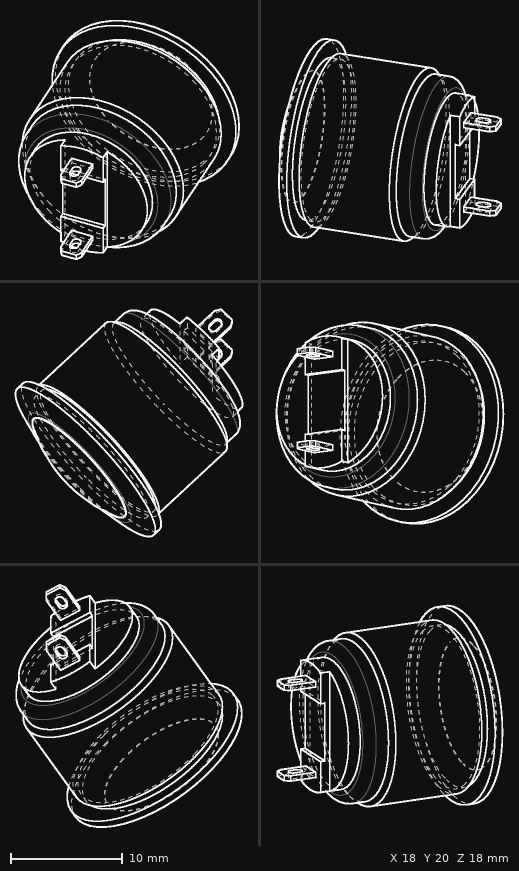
import cadquery as cq

flange_radius = 18.0 / 2
flange_thickness = 0.75
dome_radius = 12.0 / 2
ledge_radius = 6.6
ledge_y = 1.5
dome_step = 0.06
dome_base_y = ledge_y + dome_step
dome_top_y = 3.0

neck_radius = 14.8 / 2
neck_end_y = -0.8
body_radius = 15.8 / 2
body_end_y = -9.35
body_chamfer = body_radius - neck_radius
barrel_end_y = -12.0
barrel_fillet = 0.9

boss_radius = dome_radius
boss_end_y = -13.17
bar_width = 4.13
bar_end_y = -14.07
recess_length = 5.45
recess_depth = 0.45

terminal_end_y = -17.03
terminal_width = 2.05
terminal_thickness = 0.5
terminal_offset = 4.27
tip_chamfer_length = 0.5
tip_chamfer_width = 0.3
eye_length = 1.32
eye_width = 0.8
eye_center_y = -15.61


def box_between(width, y_low, y_high, height):
    """Box centred on X and Z that spans y_low to y_high."""
    box = cq.Workplane("XY").box(width, y_high - y_low, height)
    return box.translate((0, (y_low + y_high) / 2, 0))


def make_housing():
    """Domed head on a narrow ledge, conical flange and stepped barrel, revolved about Y."""
    dome_height = dome_top_y - dome_base_y
    sphere_radius = (dome_radius**2 + dome_height**2) / (2 * dome_height)
    mid_radius = dome_radius / 2
    mid_y = dome_top_y - sphere_radius + (sphere_radius**2 - mid_radius**2) ** 0.5
    profile = (
        cq.Workplane("XY")
        .moveTo(0, dome_top_y)
        .threePointArc((mid_radius, mid_y), (dome_radius, dome_base_y))
        .lineTo(dome_radius, ledge_y)
        .lineTo(ledge_radius, ledge_y)
        .lineTo(flange_radius, flange_thickness)
        .lineTo(flange_radius, 0)
        .lineTo(neck_radius, 0)
        .lineTo(neck_radius, neck_end_y)
        .lineTo(body_radius, neck_end_y)
        .lineTo(body_radius, body_end_y)
        .lineTo(neck_radius, body_end_y - body_chamfer)
        .lineTo(neck_radius, barrel_end_y)
        .lineTo(0, barrel_end_y)
        .close()
    )
    housing = profile.revolve(360, (0, 0, 0), (0, 1, 0))
    return housing.faces("<Y").edges().fillet(barrel_fillet)


def make_terminal_base():
    """Boss whose sides are cut down to leave a recessed bar along Z."""
    disc = (
        cq.Workplane("XZ", origin=(0, barrel_end_y, 0))
        .circle(boss_radius)
        .extrude(barrel_end_y - bar_end_y)
    )
    boss = disc.intersect(box_between(2 * boss_radius, boss_end_y, barrel_end_y, 2 * boss_radius))
    bar = disc.intersect(box_between(bar_width, bar_end_y, barrel_end_y, 2 * boss_radius))
    recess = box_between(bar_width, bar_end_y, bar_end_y + recess_depth, recess_length)
    return boss.union(bar).cut(recess)


def make_terminal(z):
    """Flat tab with a tapered tip and an oblong eye, centred at height z."""
    half_width = terminal_width / 2
    tip_half_width = half_width - tip_chamfer_width
    shoulder_y = terminal_end_y + tip_chamfer_length
    outline = [
        (-half_width, boss_end_y),
        (-half_width, shoulder_y),
        (-tip_half_width, terminal_end_y),
        (tip_half_width, terminal_end_y),
        (half_width, shoulder_y),
        (half_width, boss_end_y),
    ]
    tab = cq.Workplane("XY").polyline(outline).close().extrude(terminal_thickness / 2, both=True)
    eye = (
        cq.Workplane("XY")
        .center(0, eye_center_y)
        .slot2D(eye_length, eye_width, 90)
        .extrude(terminal_thickness, both=True)
    )
    return tab.cut(eye).translate((0, 0, z))


result = make_housing().union(make_terminal_base())
for side in (-1, 1):
    result = result.union(make_terminal(side * terminal_offset))